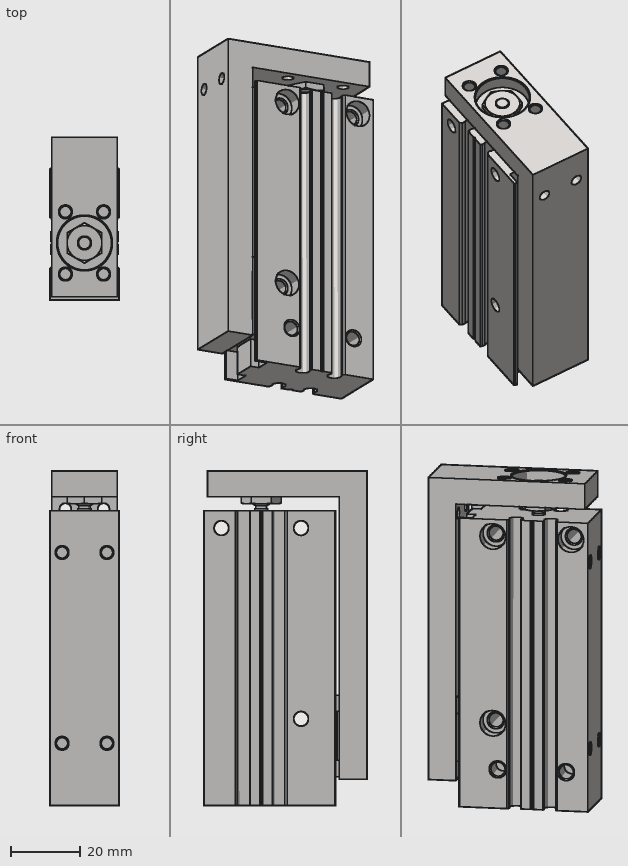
import cadquery as cq
import math


HOUSING_WIDTH = 20.0
HOUSING_DEPTH = 38.0
HOUSING_HEIGHT = 85.0
BACK_EDGE_CHAMFER = 0.3
AXIS_Y = 16.5

SLOT_OFFSET = 5.1
SLOT_MOUTH = 3.5
SLOT_BULB = 4.0
SLOT_BULB_DEPTH = 2.6
SLOT_EDGE_CHAMFER = 0.6
RIB_DROP = 0.3
RIB_EDGE_WIDTH = 0.2
RIB_EDGE_DEPTH = 0.6
RIB_GROOVE_WIDTH = 1.0
RIB_GROOVE_FLOOR = 0.3
RIB_GROOVE_DEPTH = 0.3

CHANNEL_WIDTH = 17.95
CHANNEL_DEPTH = 3.9
RAIL_WIDTH = 8.2
RAIL_HEIGHT = 2.7

SMALL_TAP = 3.3
SMALL_TAP_MOUTH = 4.0
LARGE_TAP = 4.15
LARGE_TAP_MOUTH = 5.0

FRONT_HOLE_X = 6.5
FRONT_HOLE_Z = (17.95, 73.0)
FRONT_HOLE_DEPTH = 6.0

COUNTERBORE = 7.5
COUNTERBORE_DEPTH = 4.4
MOUNT_HOLES_YZ = ((28.0, 25.0), (28.0, 80.0), (5.0, 80.0))

PORT_OFFSET = 10.0
PORT_Z = 11.5
PORT_DEPTH = 8.0

TOTAL_HEIGHT = 96.5
TOTAL_DEPTH = 47.0
TABLE_WIDTH = 19.0
TABLE_FRONT_Y = 1.0
TABLE_BOTTOM_Z = 7.5
PLATE_THICKNESS = 7.5
LEG_THICKNESS = 8.0
PLATE_BOTTOM_Z = TOTAL_HEIGHT - PLATE_THICKNESS
LEG_FACE_Y = TOTAL_DEPTH - LEG_THICKNESS

TABLE_HOLE_X = 5.5
TABLE_HOLE_OFFSET_Y = 9.0
LEG_HOLE_Z = 85.5

PLATE_BORE = 15.5
PLATE_BORE_MOUTH = 16.1
PLATE_BORE_DEPTH = 4.15

NUT_FLATS = 10.0
NUT_TOP_Z = 93.9
NUT_BOTTOM_Z = 86.9
NUT_CORNER_DROP = 0.3
STUD_DIAMETER = 4.0
STUD_END_DIAMETER = 3.5
STUD_PROJECTION = 0.2
ROD_DIAMETER = 3.8
ROD_TOP_Z = 85.6
NECK_DIAMETER = 3.3
CONE_DIAMETER = 4.8
CONE_BOTTOM_Z = 86.5

CARRIAGE_WIDTH = 17.0
CARRIAGE_BOTTOM_Y = 34.7
CARRIAGE_CENTRE_Z = 20.1
CARRIAGE_LENGTH = 23.5
CARRIAGE_BLOCK_LENGTH = 14.1
BLOCK_STEP_Y = 38.4
BLOCK_STEP_WIDTH = 0.3


def cone_frustum(bottom_diameter, top_diameter, bottom_z, top_z):
    """Frustum on the piston axis between two heights."""
    return (
        cq.Workplane("XY", origin=(0, AXIS_Y, bottom_z))
        .circle(bottom_diameter / 2)
        .workplane(offset=top_z - bottom_z)
        .circle(top_diameter / 2)
        .loft(ruled=True)
    )


def chamfered_hole(plane, points, diameter, mouth, depth):
    """Holes with a 45 degree mouth, cut from a plane whose normal points out of the part."""
    chamfer = (mouth - diameter) / 2
    profile = [
        (0, 0),
        (mouth / 2, 0),
        (diameter / 2, -chamfer),
        (diameter / 2, -depth),
        (0, -depth),
    ]
    cutter = cq.Workplane("XZ").polyline(profile).close().revolve(360, (0, 0, 0), (0, 1, 0)).val()
    return cq.Workplane(plane).pushPoints(points).eachpoint(cutter, useLocalCoordinates=True)


def upright_box(width, y_start, y_end, z_start, z_end):
    """Box centred on X = 0 between the given Y and Z limits."""
    return (
        cq.Workplane("XY", origin=(0, 0, z_start))
        .center(0, (y_start + y_end) / 2)
        .rect(width, y_end - y_start)
        .extrude(z_end - z_start)
    )


def side_slot_cutter():
    """Both sensor slots and the lowered rib of the -X side, along the full height."""
    side = -HOUSING_WIDTH / 2
    rib = side + RIB_DROP
    outer = SLOT_OFFSET + SLOT_MOUTH / 2
    inner = SLOT_OFFSET - SLOT_MOUTH / 2
    bulb_x = side + SLOT_BULB_DEPTH
    bulb_radius = SLOT_BULB / 2
    mouth_end = bulb_x - math.sqrt(bulb_radius**2 - (SLOT_MOUTH / 2) ** 2)
    half_groove = RIB_GROOVE_WIDTH / 2
    half_floor = RIB_GROOVE_FLOOR / 2
    bulb_bottom = bulb_x + bulb_radius

    profile = (
        cq.Workplane("XY", origin=(0, AXIS_Y, 0))
        .moveTo(side, outer + SLOT_EDGE_CHAMFER)
        .lineTo(side + SLOT_EDGE_CHAMFER, outer)
        .lineTo(mouth_end, outer)
        .threePointArc((bulb_bottom, SLOT_OFFSET), (mouth_end, inner))
        .lineTo(rib + RIB_EDGE_DEPTH, inner)
        .lineTo(rib, inner - RIB_EDGE_WIDTH)
        .lineTo(rib, half_groove)
        .lineTo(rib + RIB_GROOVE_DEPTH, half_floor)
        .lineTo(rib + RIB_GROOVE_DEPTH, -half_floor)
        .lineTo(rib, -half_groove)
        .lineTo(rib, RIB_EDGE_WIDTH - inner)
        .lineTo(rib + RIB_EDGE_DEPTH, -inner)
        .lineTo(mouth_end, -inner)
        .threePointArc((bulb_bottom, -SLOT_OFFSET), (mouth_end, -outer))
        .lineTo(side + SLOT_EDGE_CHAMFER, -outer)
        .lineTo(side, -outer - SLOT_EDGE_CHAMFER)
        .close()
    )
    return profile.extrude(HOUSING_HEIGHT)


def make_housing():
    body = upright_box(HOUSING_WIDTH, 0, HOUSING_DEPTH, 0, HOUSING_HEIGHT)
    body = body.faces(">Y").edges("|Z").chamfer(BACK_EDGE_CHAMFER)

    slots = side_slot_cutter()
    body = body.cut(slots).cut(slots.mirror("YZ"))

    channel_floor = HOUSING_DEPTH - CHANNEL_DEPTH
    body = body.cut(upright_box(CHANNEL_WIDTH, channel_floor, HOUSING_DEPTH, 0, HOUSING_HEIGHT))
    body = body.union(
        upright_box(RAIL_WIDTH, channel_floor, channel_floor + RAIL_HEIGHT, 0, HOUSING_HEIGHT)
    )

    front = cq.Plane(origin=(0, 0, 0), xDir=(1, 0, 0), normal=(0, -1, 0))
    front_points = [(x, z) for x in (-FRONT_HOLE_X, FRONT_HOLE_X) for z in FRONT_HOLE_Z]
    body = body.cut(
        chamfered_hole(front, front_points, SMALL_TAP, SMALL_TAP_MOUTH, FRONT_HOLE_DEPTH)
    )

    side_x = -HOUSING_WIDTH / 2
    side = cq.Plane(origin=(side_x, 0, 0), xDir=(0, -1, 0), normal=(-1, 0, 0))
    mount_points = [(-y, z) for y, z in MOUNT_HOLES_YZ]
    body = body.cut(
        cq.Workplane(side).pushPoints(mount_points).circle(COUNTERBORE / 2).extrude(-COUNTERBORE_DEPTH)
    )
    counterbore_floor = cq.Plane(
        origin=(side_x + COUNTERBORE_DEPTH, 0, 0), xDir=(0, -1, 0), normal=(-1, 0, 0)
    )
    body = body.cut(
        chamfered_hole(counterbore_floor, mount_points, LARGE_TAP, LARGE_TAP_MOUTH, HOUSING_WIDTH)
    )

    port_points = [(-AXIS_Y - offset, PORT_Z) for offset in (-PORT_OFFSET, PORT_OFFSET)]
    return body.cut(chamfered_hole(side, port_points, LARGE_TAP, LARGE_TAP_MOUTH, PORT_DEPTH))


def make_rod_end():
    """Hexagonal nut with its stud, and the necked rod that stands on the housing top."""
    corner_diameter = NUT_FLATS / math.cos(math.pi / 6)
    nut = (
        cq.Workplane("XY", origin=(0, AXIS_Y, NUT_BOTTOM_Z))
        .transformed(rotate=(0, 0, 90))
        .polygon(6, corner_diameter)
        .extrude(NUT_TOP_Z - NUT_BOTTOM_Z)
    )
    corner_low = NUT_BOTTOM_Z + NUT_CORNER_DROP
    corner_high = NUT_TOP_Z - NUT_CORNER_DROP
    envelope = cone_frustum(NUT_FLATS, corner_diameter, NUT_BOTTOM_Z, corner_low)
    envelope = envelope.union(cone_frustum(corner_diameter, corner_diameter, corner_low, corner_high))
    envelope = envelope.union(cone_frustum(corner_diameter, NUT_FLATS, corner_high, NUT_TOP_Z))
    nut = nut.intersect(envelope)

    stud = cone_frustum(STUD_DIAMETER, STUD_END_DIAMETER, NUT_TOP_Z, NUT_TOP_Z + STUD_PROJECTION)
    cone = cone_frustum(NECK_DIAMETER, CONE_DIAMETER, CONE_BOTTOM_Z, NUT_BOTTOM_Z)
    neck = cone_frustum(NECK_DIAMETER, NECK_DIAMETER, ROD_TOP_Z, CONE_BOTTOM_Z)
    rod = cone_frustum(ROD_DIAMETER, ROD_DIAMETER, HOUSING_HEIGHT, ROD_TOP_Z)
    return nut.union(stud).union(cone).union(neck).union(rod)


def make_carriage():
    """Carriage straddling the rail: a middle block with a stepped side and two end caps."""
    low = CARRIAGE_CENTRE_Z - CARRIAGE_LENGTH / 2
    high = CARRIAGE_CENTRE_Z + CARRIAGE_LENGTH / 2
    block_low = CARRIAGE_CENTRE_Z - CARRIAGE_BLOCK_LENGTH / 2
    block_high = CARRIAGE_CENTRE_Z + CARRIAGE_BLOCK_LENGTH / 2
    narrow_width = CARRIAGE_WIDTH - 2 * BLOCK_STEP_WIDTH
    rail_top_y = HOUSING_DEPTH - CHANNEL_DEPTH + RAIL_HEIGHT

    carriage = upright_box(narrow_width, CARRIAGE_BOTTOM_Y, LEG_FACE_Y, low, high)
    carriage = carriage.union(
        upright_box(CARRIAGE_WIDTH, BLOCK_STEP_Y, LEG_FACE_Y, block_low, block_high)
    )
    return carriage.cut(upright_box(RAIL_WIDTH, CARRIAGE_BOTTOM_Y, rail_top_y, low, high))


def make_table():
    plate = upright_box(TABLE_WIDTH, TABLE_FRONT_Y, TOTAL_DEPTH, PLATE_BOTTOM_Z, TOTAL_HEIGHT)
    leg = upright_box(TABLE_WIDTH, LEG_FACE_Y, TOTAL_DEPTH, TABLE_BOTTOM_Z, PLATE_BOTTOM_Z)
    table = plate.union(leg)

    top = cq.Plane(origin=(0, AXIS_Y, TOTAL_HEIGHT), xDir=(1, 0, 0), normal=(0, 0, 1))
    table = table.cut(
        chamfered_hole(top, [(0, 0)], PLATE_BORE, PLATE_BORE_MOUTH, PLATE_BORE_DEPTH)
    )
    plate_points = [
        (x, y)
        for x in (-TABLE_HOLE_X, TABLE_HOLE_X)
        for y in (-TABLE_HOLE_OFFSET_Y, TABLE_HOLE_OFFSET_Y)
    ]
    table = table.cut(
        chamfered_hole(top, plate_points, SMALL_TAP, SMALL_TAP_MOUTH, PLATE_THICKNESS)
    )

    leg_holes = (
        cq.Workplane("XZ", origin=(0, LEG_FACE_Y, 0))
        .pushPoints([(-TABLE_HOLE_X, LEG_HOLE_Z), (TABLE_HOLE_X, LEG_HOLE_Z)])
        .circle(SMALL_TAP / 2)
        .extrude(-LEG_THICKNESS)
    )
    return table.cut(leg_holes).union(make_rod_end()).union(make_carriage())


housing = make_housing()
table = make_table()

result = cq.Compound.makeCompound([housing.solids().val(), table.solids().val()])